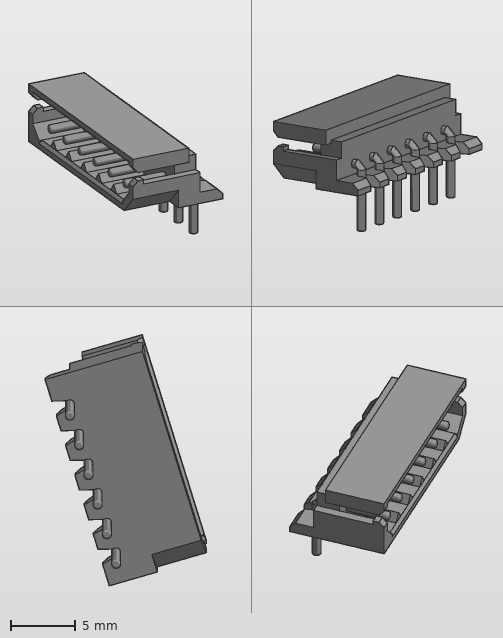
import cadquery as cq
import math


pin_count = 6
pitch = 2.5
pin_dia = 0.7
pin_radius = pin_dia / 2
contact_tip_round = 0.2
tail_tip_round = 0.15
elbow_inset = 0.005
contact_z = 1.8
contact_tip_y = 0.5
tail_y = 6.6
tail_length = 3.5
pin_places = [(i - (pin_count - 1) / 2) * pitch for i in range(pin_count)]
ridge_places = [x + pitch / 2 for x in pin_places[:-1]]

width = 17.4
height = 4.85
body_depth = 5.9
wall = 0.7
cavity_width = width - 2 * wall
cavity_depth = 4.0
cavity_corner = 1.05
lead_in = 0.25
side_top = 2.6
catch_top = 2.95
catch_length = 0.93
front_bevel = 0.43
back_wall_top = 3.9

lid_bottom = 3.65
lid_depth = 4.9
lid_bevel_height = 0.48

ledge_depth = 2.0
ledge_height = 0.95
ledge_bevel = 0.5
ledge_back = body_depth + ledge_depth
slot_mouth = 1.25
slot_flare_length = 1.0

ridge_width = 1.0
ridge_height = 0.65
ridge_front_y = lead_in
polarity_bevel = 1.48


def extrude_across(points, length):
    """Extrude a closed (y, z) outline along X, centred on X = 0."""
    return cq.Workplane("YZ").polyline(points).close().extrude(length / 2, both=True)


def extrude_back(points, start_y, end_y):
    """Extrude a closed (x, z) outline along Y from start_y to end_y."""
    plane = cq.Workplane("XZ", origin=(0, start_y, 0))
    return plane.polyline(points).close().extrude(start_y - end_y)


def make_base():
    """Floor, side walls with front catches, and the ledge behind them."""
    return extrude_across(
        [
            (0, 0),
            (ledge_back, 0),
            (ledge_back, ledge_height - ledge_bevel),
            (ledge_back - ledge_bevel, ledge_height),
            (body_depth, ledge_height),
            (body_depth, side_top),
            (catch_length, side_top),
            (catch_length, catch_top),
            (front_bevel, catch_top),
            (0, catch_top - front_bevel),
        ],
        width,
    )


def make_back_wall():
    """Wall behind the cavity that carries the lid and holds the contacts."""
    wall_depth = body_depth - cavity_depth
    return cq.Workplane("XY", origin=(0, cavity_depth, 0)).box(
        cavity_width, wall_depth, back_wall_top, centered=(True, False, False)
    )


def make_lid():
    """Full-width lid with a bevelled lower front edge."""
    return extrude_across(
        [
            (0, height),
            (lid_depth, height),
            (lid_depth, lid_bottom),
            (front_bevel, lid_bottom),
            (0, lid_bottom + lid_bevel_height),
        ],
        width,
    )


def make_cavity():
    """Mating cavity with bevelled lower corners and lead-in bevels at its mouth."""
    half = cavity_width / 2
    half_floor = half - cavity_corner
    ceiling = height - wall
    cavity = extrude_back(
        [
            (-half_floor, wall),
            (half_floor, wall),
            (half, wall + cavity_corner),
            (half, ceiling),
            (-half, ceiling),
            (-half, wall + cavity_corner),
        ],
        0,
        cavity_depth,
    )
    floor_lead_in = extrude_across([(0, wall), (0, wall - lead_in), (lead_in, wall)], 2 * half_floor)
    lid_lead_in = extrude_across([(0, ceiling), (0, ceiling + lead_in), (lead_in, ceiling)], cavity_width)
    return cavity.union(floor_lead_in).union(lid_lead_in)


def make_ridge(x):
    """Triangular ridge on the cavity floor."""
    return extrude_back(
        [
            (x - ridge_width / 2, wall),
            (x + ridge_width / 2, wall),
            (x, wall + ridge_height),
        ],
        ridge_front_y,
        cavity_depth,
    )


def make_polarity_cut():
    """Bevel of the lower +X corner, as deep as the cavity."""
    edge = width / 2
    return extrude_back(
        [
            (edge - polarity_bevel, 0),
            (edge, 0),
            (edge, polarity_bevel),
        ],
        0,
        cavity_depth,
    )


def make_slot(x):
    """Slot in the ledge: one pin wide at the tail, flaring towards the back."""
    flare_y = ledge_back - slot_flare_length
    outline = [
        (x - pin_radius, tail_y),
        (x + pin_radius, tail_y),
        (x + pin_radius, flare_y),
        (x + slot_mouth / 2, ledge_back),
        (x - slot_mouth / 2, ledge_back),
        (x - pin_radius, flare_y),
    ]
    return cq.Workplane("XY").polyline(outline).close().extrude(ledge_height)


def make_pin(x):
    """Contact and tail, joined by a straight 45 degree elbow."""
    elbow_y = tail_y - pin_radius - elbow_inset
    elbow_z = contact_z - pin_radius - elbow_inset
    contact = (
        cq.Workplane("XZ", origin=(x, contact_tip_y, contact_z))
        .circle(pin_radius)
        .extrude(contact_tip_y - elbow_y)
        .faces("<Y")
        .edges()
        .fillet(contact_tip_round)
    )
    tail = (
        cq.Workplane("XY", origin=(x, tail_y, -tail_length))
        .circle(pin_radius)
        .extrude(tail_length + elbow_z)
        .faces("<Z")
        .edges()
        .fillet(tail_tip_round)
    )
    elbow_bar_length = 4 * pin_dia
    elbow_plane = cq.Plane(
        origin=(x, elbow_y - pin_dia, contact_z + pin_dia),
        xDir=(1, 0, 0),
        normal=(0, 1, -1),
    )
    elbow_half_height = pin_radius / math.sqrt(2)
    elbow_bar = cq.Workplane(elbow_plane).ellipse(pin_radius, elbow_half_height).extrude(elbow_bar_length)
    corner_size = 2 * pin_dia
    elbow_corner = cq.Workplane("XY", origin=(x, elbow_y, elbow_z)).box(
        corner_size, corner_size, corner_size, centered=(True, False, False)
    )
    return contact.union(tail).union(elbow_bar.intersect(elbow_corner))


result = make_base().union(make_lid()).union(make_back_wall())
result = result.cut(make_cavity()).cut(make_polarity_cut())
for ridge_x in ridge_places:
    result = result.union(make_ridge(ridge_x))
for pin_x in pin_places:
    result = result.cut(make_slot(pin_x)).union(make_pin(pin_x))